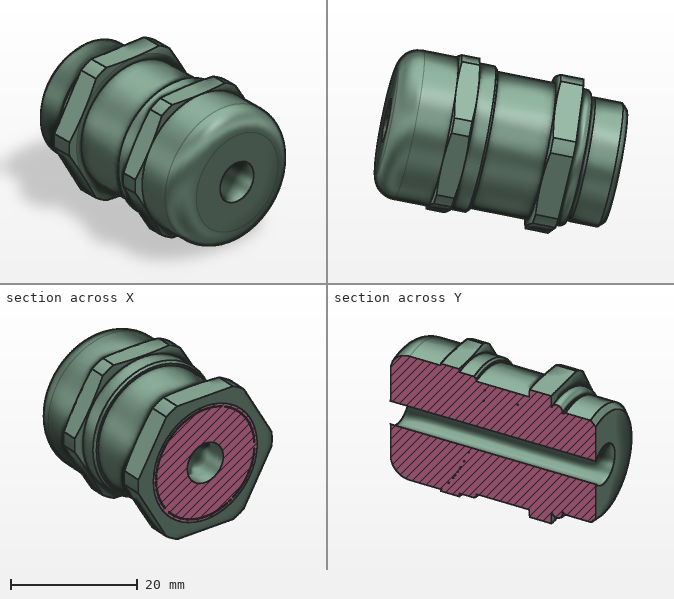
import cadquery as cq
import math

LENGTH = 37.0
THREAD_END = 5.43
RING_START = 6.0
BODY_HEX_START = 8.0
BODY_HEX_END = 12.0
COLLAR_START = 21.5
NUT_HEX_START = 24.5
NUT_HEX_END = 28.0

BORE_DIAMETER = 7.0
TIP_DIAMETER = 18.16
THREAD_DIAMETER = 20.0
BODY_DIAMETER = 22.0
COLLAR_DIAMETER = 23.52
DOME_DIAMETER = 23.98
HEX_ACROSS_FLATS = 24.0
HEX_CORNER_DIAMETER = 26.4
HEX_SIDES = 6

COLLAR_CHAMFER = 0.4
DOME_RADIUS = 3.5
NECK_TAPER_ANGLE = 30.0
HEX_CHAMFER_ANGLE = 15.0

RING_SECTION_DIAMETER = BODY_HEX_START - RING_START
RING_CENTRE_RADIUS = (BODY_DIAMETER - RING_SECTION_DIAMETER) / 2
RING_CENTRE_X = RING_START + RING_SECTION_DIAMETER / 2

TIP_CHAMFER = (THREAD_DIAMETER - TIP_DIAMETER) / 2
NECK_DROP = (RING_START - THREAD_END) * math.tan(math.radians(NECK_TAPER_ANGLE))
NECK_DIAMETER = THREAD_DIAMETER - 2 * NECK_DROP


def revolve_about_axis(profile):
    """Turn a closed XY profile (X = axis, Y = radius) into a solid around X."""
    return profile.revolve(360, (0, 0, 0), (1, 0, 0))


def turned_body():
    """Thread, neck, barrel, collar and domed end as one turned shape."""
    dome_centre_radius = DOME_DIAMETER / 2 - DOME_RADIUS
    dome_start = LENGTH - DOME_RADIUS
    arc_offset = DOME_RADIUS * math.sqrt(0.5)
    profile = (
        cq.Workplane("XY")
        .moveTo(0, 0)
        .lineTo(0, TIP_DIAMETER / 2)
        .lineTo(TIP_CHAMFER, THREAD_DIAMETER / 2)
        .lineTo(THREAD_END, THREAD_DIAMETER / 2)
        .lineTo(RING_START, NECK_DIAMETER / 2)
        .lineTo(BODY_HEX_START, NECK_DIAMETER / 2)
        .lineTo(BODY_HEX_START, BODY_DIAMETER / 2)
        .lineTo(COLLAR_START, BODY_DIAMETER / 2)
        .lineTo(COLLAR_START, COLLAR_DIAMETER / 2 - COLLAR_CHAMFER)
        .lineTo(COLLAR_START + COLLAR_CHAMFER, COLLAR_DIAMETER / 2)
        .lineTo(NUT_HEX_END, COLLAR_DIAMETER / 2)
        .lineTo(NUT_HEX_END, DOME_DIAMETER / 2)
        .lineTo(dome_start, DOME_DIAMETER / 2)
        .threePointArc(
            (dome_start + arc_offset, dome_centre_radius + arc_offset),
            (LENGTH, dome_centre_radius),
        )
        .lineTo(LENGTH, 0)
        .close()
    )
    return revolve_about_axis(profile)


def seal_ring():
    """O-ring lying against the face of the body hexagon."""
    section = (
        cq.Workplane("XY")
        .center(RING_CENTRE_X, RING_CENTRE_RADIUS)
        .circle(RING_SECTION_DIAMETER / 2)
    )
    return section.revolve(360, (0, -RING_CENTRE_RADIUS, 0), (1, -RING_CENTRE_RADIUS, 0))


def hexagon(start, end, chamfer_start):
    """Hexagon with flats facing +Z and -Z, rounded corners and conical end chamfers.

    The end face is always chamfered; the start face only if chamfer_start is set.
    """
    corner_to_corner = HEX_ACROSS_FLATS / math.cos(math.pi / HEX_SIDES)
    prism = (
        cq.Workplane("YZ")
        .workplane(offset=start)
        .polygon(HEX_SIDES, corner_to_corner)
        .extrude(end - start)
    )
    flat_radius = HEX_ACROSS_FLATS / 2
    corner_radius = HEX_CORNER_DIAMETER / 2
    chamfer_length = (corner_radius - flat_radius) * math.tan(math.radians(HEX_CHAMFER_ANGLE))
    envelope = cq.Workplane("XY").moveTo(start, 0)
    if chamfer_start:
        envelope = envelope.lineTo(start, flat_radius)
        envelope = envelope.lineTo(start + chamfer_length, corner_radius)
    else:
        envelope = envelope.lineTo(start, corner_radius)
    envelope = (
        envelope.lineTo(end - chamfer_length, corner_radius)
        .lineTo(end, flat_radius)
        .lineTo(end, 0)
        .close()
    )
    return prism.intersect(revolve_about_axis(envelope))


def bore():
    """Cable passage running the full length."""
    return cq.Workplane("YZ").circle(BORE_DIAMETER / 2).extrude(LENGTH)


body_hex = hexagon(BODY_HEX_START, BODY_HEX_END, chamfer_start=False)
nut_hex = hexagon(NUT_HEX_START, NUT_HEX_END, chamfer_start=True)

result = turned_body().union(seal_ring()).union(body_hex).union(nut_hex).cut(bore())